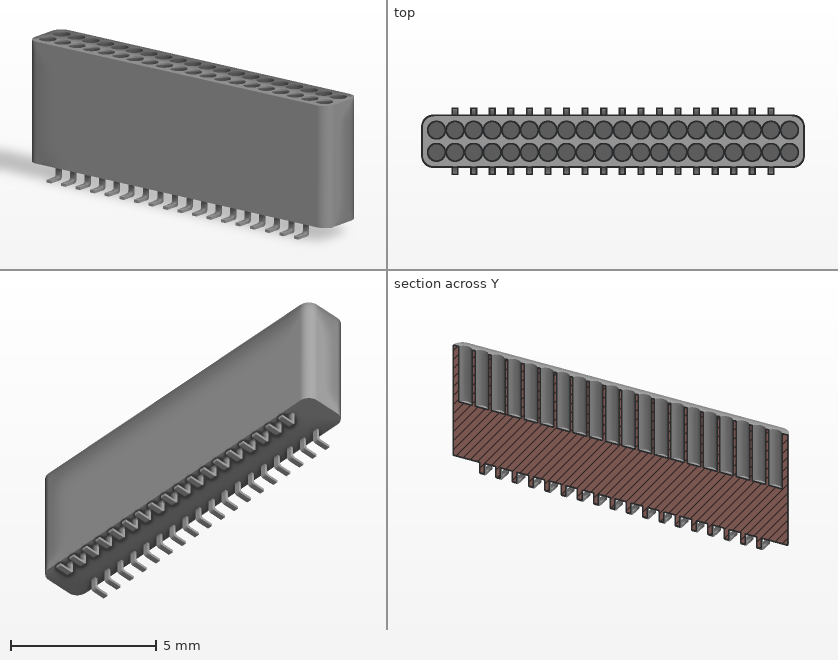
import cadquery as cq

body_length = 13.18
body_width = 1.79
body_height = 4.39
overall_height = 4.89
corner_radius = 0.41

pitch = 0.64
socket_columns = 20
socket_row_spacing = 0.76
socket_diameter = 0.6
socket_depth = body_height / 2

lead_columns = socket_columns - 2
overall_width = 2.28
lead_width = 0.2
lead_thickness = 0.1
lead_drop = overall_height - body_height
lead_tip_y = overall_width / 2
lead_inner_y = 0.54
bend_radius = lead_thickness


def column_positions(count):
    """X positions of evenly spaced columns centred on the housing."""
    return [(i - (count - 1) / 2) * pitch for i in range(count)]


def make_housing():
    """Upright block with rounded vertical corners, standing on Z = 0."""
    return (
        cq.Workplane("XY")
        .box(body_length, body_width, body_height, centered=(True, True, False))
        .edges("|Z")
        .fillet(corner_radius)
    )


def cut_sockets(housing):
    """Two rows of blind round sockets opening on the top face."""
    centers = [
        (x, side * socket_row_spacing / 2)
        for side in (-1, 1)
        for x in column_positions(socket_columns)
    ]
    sockets = (
        cq.Workplane("XY", origin=(0, 0, body_height - socket_depth))
        .pushPoints(centers)
        .circle(socket_diameter / 2)
        .extrude(socket_depth)
    )
    return housing.cut(sockets)


def make_lead(x):
    """L-shaped lead on the +Y side: a stem below the housing bent outward into a flat foot."""
    stem_outer_y = lead_inner_y + lead_thickness
    foot_bottom = -lead_drop
    foot_top = foot_bottom + lead_thickness
    return (
        cq.Workplane("YZ", origin=(x - lead_width / 2, 0, 0))
        .moveTo(lead_inner_y, 0)
        .lineTo(stem_outer_y, 0)
        .lineTo(stem_outer_y, foot_top + bend_radius)
        .radiusArc((stem_outer_y + bend_radius, foot_top), -bend_radius)
        .lineTo(lead_tip_y, foot_top)
        .lineTo(lead_tip_y, foot_bottom)
        .lineTo(lead_inner_y + bend_radius, foot_bottom)
        .radiusArc((lead_inner_y, foot_bottom + bend_radius), bend_radius)
        .close()
        .extrude(lead_width)
    )


result = cut_sockets(make_housing())
for lead_x in column_positions(lead_columns):
    lead = make_lead(lead_x)
    result = result.union(lead).union(lead.mirror("XZ"))